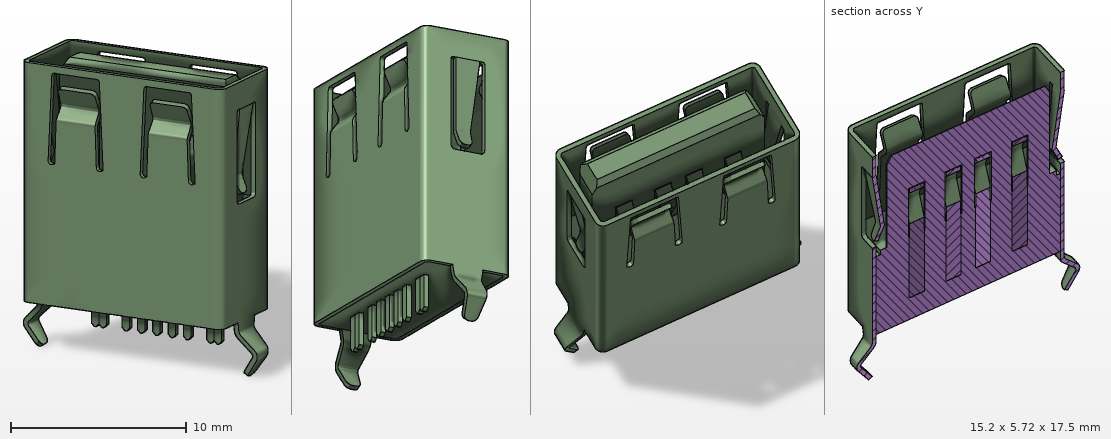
import cadquery as cq
import math


shell_width = 13.09
shell_depth = 5.72
shell_height = 14.18
sheet = 0.3
corner_radius = 0.5
inner_width = shell_width - 2 * sheet
inner_depth = shell_depth - 2 * sheet
inner_radius = corner_radius - sheet
side_sheet_x = (shell_width - sheet) / 2
front_sheet_y = (shell_depth - sheet) / 2
root_overlap = 0.18

clip_x = 3.0
clip_window_top = 13.75
clip_window_bottom = 8.55
clip_window_top_half = 1.54
clip_window_bottom_half = 1.78
clip_window_corner = 0.18
clip_slot_width = 0.44
clip_tip_z = 12.92
clip_rim_half = 1.15
clip_tip_corner = 0.28
clip_root_half = clip_window_bottom_half - clip_slot_width
clip_bend_z = 10.95
clip_apex_z = 11.72
clip_apex_inset = 0.58
clip_bend_radius = 0.26
clip_apex_radius = 0.38

side_window_half = 1.1
side_window_top = 12.56
side_window_bottom = 6.98
side_window_top_corner = 0.14
side_window_bottom_corner = 0.26
spring_root_half = 0.8
spring_tip_half = 0.37
spring_tip_corner = 0.35
spring_apex_z = 8.38
spring_apex_inset = 0.56
spring_tip_z = 7.38
spring_tip_inset = 0.12
spring_bend_radius = 0.18

leg_root_half = 1.0
leg_tip_half = 0.4
leg_tip_corner = 0.38
leg_bend_z = -0.74
leg_bend_radius = 0.58
leg_elbow_x = 7.56
leg_elbow_z = leg_bend_z - (leg_elbow_x - side_sheet_x)
leg_elbow_radius = 0.37
leg_tip_lean = math.radians(34)
leg_bottom = -3.32
leg_tip_z = leg_bottom + sheet / 2 * math.sin(leg_tip_lean)
leg_tip_x = leg_elbow_x - (leg_elbow_z - leg_tip_z) * math.tan(leg_tip_lean)

base_height = 6.55
tongue_half_width = 5.55
tongue_front_y = -0.09
tongue_back_y = 1.92
tongue_top = 13.9
tongue_corner_radius = 0.66
end_bevel_width = 0.47
end_bevel_drop = 0.88
back_bevel_width = 0.52
back_bevel_drop = 0.66
front_bevel_width = 0.32
front_bevel_drop = 0.35
base_recess_depth = 0.35
end_recess_width = 0.25
end_recess_half = 1.26
back_recess_width = 0.14
back_recess_half = 4.81

tail_width = 0.49
tail_thickness = 0.3
tail_y = 1.42
tail_bottom = -2.14
tail_chamfer = 0.2
post_positions = [-3.99, -2.0, 0, 2.0, 3.99]
contact_positions = [-3.5, -1.0, 1.0, 3.5]
blade_width = 1.0
blade_start_z = 1.05
blade_jog_z = 1.75
blade_y = tongue_front_y + tail_thickness / 2
blade_jog_radius = 0.26
slot_width = 1.1
slot_depth = tail_thickness
slot_top = 10.36
bow_start_z = 6.96
bow_apex_z = 9.25
bow_apex_y = -0.72
bow_end_z = 10.3
bow_apex_radius = 0.8


def strip_side(path, radii, offset):
    """Start point, bends as (start, middle, end) and end point of a line left of the path."""
    directions = []
    for (u0, v0), (u1, v1) in zip(path, path[1:]):
        length = math.hypot(u1 - u0, v1 - v0)
        directions.append(((u1 - u0) / length, (v1 - v0) / length))

    def shifted(point, direction, along):
        u = point[0] + direction[0] * along - direction[1] * offset
        v = point[1] + direction[1] * along + direction[0] * offset
        return (u, v)

    bends = []
    for vertex, before, after, radius in zip(path[1:], directions, directions[1:], radii):
        cross = before[0] * after[1] - before[1] * after[0]
        turn = math.acos(before[0] * after[0] + before[1] * after[1])
        side = math.copysign(1, cross)
        setback = radius * math.tan(turn / 2)
        heading = math.atan2(before[1], before[0]) + side * turn / 2
        normal = (-math.sin(heading), math.cos(heading))
        center_distance = side * radius / math.cos(turn / 2)
        middle_distance = center_distance - side * radius + offset
        middle = (vertex[0] + normal[0] * middle_distance, vertex[1] + normal[1] * middle_distance)
        bends.append((shifted(vertex, before, -setback), middle, shifted(vertex, after, setback)))
    return shifted(path[0], directions[0], 0), bends, shifted(path[-1], directions[-1], 0)


def bent_strip(plane, path, radii, thickness, width):
    """Sheet strip of constant thickness whose middle line follows the path, with rounded bends."""
    there = strip_side(path, radii, thickness / 2)
    back = strip_side(path[::-1], radii[::-1], thickness / 2)
    profile = cq.Workplane(plane).moveTo(*there[0])
    for start, bends, end in (there, back):
        profile = profile.lineTo(*start) if start != there[0] else profile
        for bend_start, bend_middle, bend_end in bends:
            profile = profile.lineTo(*bend_start).threePointArc(bend_middle, bend_end)
        profile = profile.lineTo(*end)
    return profile.close().extrude(width / 2, both=True)


def taper_prism(plane, half_a, level_a, half_b, level_b, length):
    """Prism with a symmetric trapezoid section between two levels, centred on its plane."""
    corners = [(-half_a, level_a), (half_a, level_a), (half_b, level_b), (-half_b, level_b)]
    return cq.Workplane(plane).polyline(corners).close().extrude(length / 2, both=True)


def both_ends(part):
    """The part together with its mirror image at the other end of X."""
    return [part, part.mirror("YZ")]


def rounded_prism(width, depth, radius, height):
    return cq.Workplane("XY").rect(width, depth).extrude(height).edges("|Z").fillet(radius)


def make_clip_window():
    """Tapered opening with two round slot ends, cutting both the front and the back wall."""
    through = 2 * shell_depth
    window = taper_prism("XZ", clip_window_top_half, clip_window_top,
                         clip_window_bottom_half, clip_window_bottom, through)
    window = window.faces(">Z").edges("|Y").fillet(clip_window_corner)
    slot_center = clip_window_bottom_half - clip_slot_width / 2
    slot_ends = (
        cq.Workplane("XZ")
        .pushPoints([(-slot_center, clip_window_bottom), (slot_center, clip_window_bottom)])
        .circle(clip_slot_width / 2)
        .extrude(through / 2, both=True)
    )
    return window.union(slot_ends)


def make_clip():
    """Front clip at X = 0: bent inward to an apex, then flared back out to the wall."""
    path = [
        (-front_sheet_y, clip_window_bottom),
        (-front_sheet_y, clip_bend_z),
        (-front_sheet_y + clip_apex_inset, clip_apex_z),
        (-front_sheet_y, clip_tip_z),
    ]
    radii = [clip_bend_radius, clip_apex_radius]
    strip = bent_strip("YZ", path, radii, sheet, shell_width)
    outline = taper_prism("XZ", clip_root_half, clip_window_bottom,
                          clip_rim_half, shell_height, 2 * shell_depth)
    clip = strip.intersect(outline)
    tip_direction = cq.Vector(0, path[3][0] - path[2][0], path[3][1] - path[2][1])
    tip = clip.faces(cq.DirectionMinMaxSelector(tip_direction))
    return tip.edges("not |X").fillet(clip_tip_corner)


def make_side_spring():
    """Tapered spring hanging from the top of the -X side window."""
    top = side_window_top + root_overlap
    path = [
        (-side_sheet_x, top),
        (-side_sheet_x, side_window_top),
        (-side_sheet_x + spring_apex_inset, spring_apex_z),
        (-side_sheet_x + spring_tip_inset, spring_tip_z),
    ]
    radii = [spring_bend_radius, spring_bend_radius]
    strip = bent_strip("XZ", path, radii, sheet, shell_depth)
    outline = taper_prism("YZ", spring_root_half, top,
                          spring_tip_half, side_window_bottom, 2 * shell_width)
    spring = strip.intersect(outline)
    tip_direction = cq.Vector(path[3][0] - path[2][0], 0, path[3][1] - path[2][1])
    tip = spring.faces(cq.DirectionMinMaxSelector(tip_direction))
    return tip.edges("not |Y").fillet(spring_tip_corner)


def make_leg():
    """Tapered board leg under the -X wall, bent outward and then back inward."""
    path = [
        (-side_sheet_x, 0),
        (-side_sheet_x, leg_bend_z),
        (-leg_elbow_x, leg_elbow_z),
        (-leg_tip_x, leg_tip_z),
    ]
    radii = [leg_bend_radius, leg_elbow_radius]
    strip = bent_strip("XZ", path, radii, sheet, shell_depth)
    outline = taper_prism("YZ", leg_root_half, 0, leg_tip_half, leg_bottom, 2 * shell_width)
    leg = strip.intersect(outline)
    tip_direction = cq.Vector(path[3][0] - path[2][0], 0, path[3][1] - path[2][1])
    tip = leg.faces(cq.DirectionMinMaxSelector(tip_direction))
    return tip.edges("not |Y").fillet(leg_tip_corner)


def make_shell():
    tube = rounded_prism(shell_width, shell_depth, corner_radius, shell_height)
    tube = tube.cut(rounded_prism(inner_width, inner_depth, inner_radius, shell_height))

    side_window = (
        cq.Workplane("XY")
        .box(2 * shell_width, 2 * side_window_half, side_window_top - side_window_bottom)
        .edges("|X and >Z")
        .fillet(side_window_top_corner)
        .edges("|X and <Z")
        .fillet(side_window_bottom_corner)
        .translate((0, 0, (side_window_top + side_window_bottom) / 2))
    )
    tube = tube.cut(side_window)
    for x in (-clip_x, clip_x):
        tube = tube.cut(make_clip_window().translate((x, 0, 0)))
    for x in (-clip_x, clip_x):
        clip = make_clip().translate((x, 0, 0))
        tube = tube.union(clip).union(clip.mirror("XZ"))
    for part in both_ends(make_side_spring()) + both_ends(make_leg()):
        tube = tube.union(part)
    return tube


def make_tongue():
    """Tongue with rounded back corners and a bevelled top."""
    depth = tongue_back_y - tongue_front_y
    tongue = (
        cq.Workplane("XY")
        .box(2 * tongue_half_width, depth, tongue_top, centered=(True, False, False))
        .translate((0, tongue_front_y, 0))
        .edges("|Z and >Y")
        .fillet(tongue_corner_radius)
    )
    end_bevel_start = tongue_top - end_bevel_drop
    end_bevels = (
        cq.Workplane("XZ")
        .moveTo(-tongue_half_width, 0)
        .lineTo(-tongue_half_width, end_bevel_start)
        .lineTo(-tongue_half_width + end_bevel_width, tongue_top)
        .lineTo(tongue_half_width - end_bevel_width, tongue_top)
        .lineTo(tongue_half_width, end_bevel_start)
        .lineTo(tongue_half_width, 0)
        .close()
        .extrude(shell_depth, both=True)
    )
    long_bevels = (
        cq.Workplane("YZ")
        .moveTo(tongue_front_y, 0)
        .lineTo(tongue_front_y, tongue_top - front_bevel_drop)
        .lineTo(tongue_front_y + front_bevel_width, tongue_top)
        .lineTo(tongue_back_y - back_bevel_width, tongue_top)
        .lineTo(tongue_back_y, tongue_top - back_bevel_drop)
        .lineTo(tongue_back_y, 0)
        .close()
        .extrude(shell_width, both=True)
    )
    return tongue.intersect(end_bevels).intersect(long_bevels)


def make_tail(top):
    """Flat tail at X = 0 with a chamfered tip, ending at the given height."""
    half = tail_width / 2
    chamfer_z = tail_bottom + tail_chamfer
    return (
        cq.Workplane("XZ", origin=(0, tail_y, 0))
        .moveTo(-half, top)
        .lineTo(-half, chamfer_z)
        .lineTo(-half + tail_chamfer, tail_bottom)
        .lineTo(half - tail_chamfer, tail_bottom)
        .lineTo(half, chamfer_z)
        .lineTo(half, top)
        .close()
        .extrude(tail_thickness / 2, both=True)
    )


def make_contact():
    """Contact at X = 0: tail, jog to the tongue face, and a bow standing out of the tongue."""
    path = [
        (tail_y, blade_start_z),
        (tail_y, blade_jog_z),
        (blade_y, blade_jog_z),
        (blade_y, bow_start_z),
        (bow_apex_y, bow_apex_z),
        (blade_y, bow_end_z),
    ]
    radii = [blade_jog_radius, blade_jog_radius, blade_jog_radius, bow_apex_radius]
    blade = bent_strip("YZ", path, radii, tail_thickness, blade_width)
    return blade.union(make_tail(blade_start_z))


def make_insulator(contacts):
    """Base, tongue and five fixed posts, with seats for the contacts."""
    base = rounded_prism(inner_width, inner_depth, inner_radius, base_height)
    recess_z = base_height - base_recess_depth / 2
    end_recess = (
        cq.Workplane("XY")
        .box(2 * end_recess_width, 2 * end_recess_half, base_recess_depth)
        .translate((-inner_width / 2, 0, recess_z))
    )
    back_recess = (
        cq.Workplane("XY")
        .box(2 * back_recess_half, 2 * back_recess_width, base_recess_depth)
        .translate((0, inner_depth / 2, recess_z))
    )
    for recess in both_ends(end_recess) + [back_recess]:
        base = base.cut(recess)
    insulator = base.union(make_tongue())
    slot = (
        cq.Workplane("XY")
        .box(slot_width, slot_depth, slot_top - base_height, centered=(True, False, False))
        .translate((0, tongue_front_y, base_height))
    )
    for x in contact_positions:
        insulator = insulator.cut(slot.translate((x, 0, 0)))
    for x in post_positions:
        insulator = insulator.union(make_tail(0).translate((x, 0, 0)))
    for contact in contacts:
        insulator = insulator.cut(contact)
    return insulator


shell = make_shell()
contacts = []
for x in contact_positions:
    contacts.append(make_contact().translate((x, 0, 0)))
insulator = make_insulator(contacts)

result = cq.Compound.makeCompound([
    shell.val(),
    insulator.val(),
    *[contact.val() for contact in contacts],
])